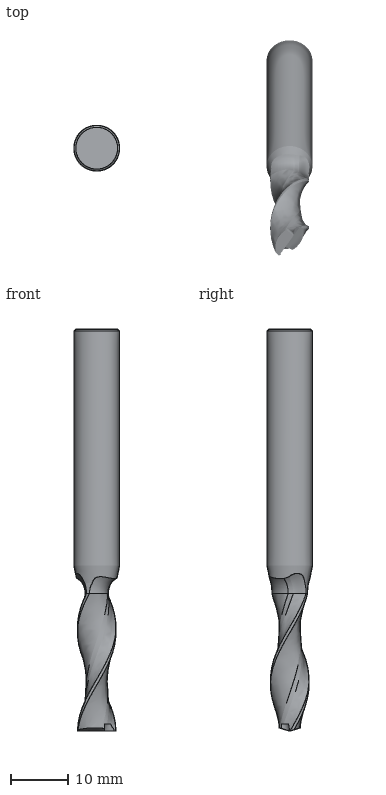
import cadquery as cq
import math

total_length = 70.0
shank_diameter = 8.0
shank_radius = shank_diameter / 2
shank_bottom = 28.85
top_chamfer = 0.35
neck_taper_bottom = 25.75
runout_radius = 2.8

cutter_length = 24.0
cutter_radius = 3.35
helix_pitch = 36.4
end_land_angle = 3.5
land_front_angle = -3.0
land_back_angle = 7.0
web_half_thickness = 1.8
twist_angle = 360 * cutter_length / helix_pitch
neck_land_angle = end_land_angle + twist_angle

back_middle = (1.6, 1.55)
strip_start = (-0.7, web_half_thickness)
strip_end = (-1.55, 1.5)
rake_middle = (-2.25, 0.9)
lip_root = (-2.7, 0.55)

end_relief_angle = 17.0
gash_width = 0.2
gash_height = 1.25
gash_inner_x = 1.3
gash_outer_x = 3.0


def half_turn(point):
    """The matching point on the opposite side of the axis."""
    return (-point[0], -point[1])


def on_land(angle):
    """A point on the land at +X, at the given angle in degrees."""
    turn = math.radians(angle)
    return (cutter_radius * math.cos(turn), cutter_radius * math.sin(turn))


land_front = on_land(land_front_angle)
land_back = on_land(land_back_angle)


def cutter_section():
    """Two lands joined by convex backs, narrow strips, hollow rakes and flat lips."""
    return (
        cq.Workplane("XY")
        .moveTo(*land_front)
        .threePointArc((cutter_radius, 0), land_back)
        .threePointArc(back_middle, strip_start)
        .lineTo(*strip_end)
        .threePointArc(rake_middle, lip_root)
        .lineTo(*half_turn(land_front))
        .threePointArc((-cutter_radius, 0), half_turn(land_back))
        .threePointArc(half_turn(back_middle), half_turn(strip_start))
        .lineTo(*half_turn(strip_end))
        .threePointArc(half_turn(rake_middle), half_turn(lip_root))
        .lineTo(*land_front)
        .close()
    )


def turned(shape, angle):
    return shape.rotate((0, 0, 0), (0, 0, 1), angle)


def end_relief():
    """Wedge that slopes the end face up behind the cutting edge at +X."""
    reach = 2 * cutter_radius
    return (
        cq.Workplane("YZ")
        .polyline([(0, 0), (reach, 0), (reach, reach * math.tan(math.radians(end_relief_angle)))])
        .close()
        .extrude(reach, both=True)
    )


def end_gash():
    """Small notch in the rake face beside the cutting edge at +X."""
    return (
        cq.Workplane("YZ", origin=(gash_inner_x, 0, 0))
        .polyline([(0, 0), (-gash_width, gash_height), (-cutter_radius, gash_height), (-cutter_radius, 0)])
        .close()
        .extrude(gash_outer_x - gash_inner_x)
    )


def make_cutter():
    body = cutter_section().twistExtrude(cutter_length, twist_angle)
    body = turned(body, end_land_angle)
    for side in (0, 180):
        body = body.cut(turned(end_relief(), side))
        body = body.cut(turned(end_gash(), side))
    return body


def flute_runout():
    """The flute outline at +Y, swung upward and outward about a level axis."""
    axis_y = web_half_thickness + runout_radius
    profile = (
        cq.Workplane("XY")
        .moveTo(*land_back)
        .threePointArc(back_middle, strip_start)
        .lineTo(*strip_end)
        .threePointArc(rake_middle, lip_root)
        .lineTo(*half_turn(land_front))
        .lineTo(-shank_radius, land_back[1])
        .lineTo(-shank_radius, axis_y)
        .lineTo(shank_radius, axis_y)
        .lineTo(shank_radius, land_back[1])
        .close()
    )
    swung = profile.revolve(90, (shank_radius, axis_y), (-shank_radius, axis_y))
    return swung.translate((0, 0, cutter_length))


def make_shank():
    body = (
        cq.Workplane("XZ")
        .polyline([
            (0, cutter_length),
            (cutter_radius, cutter_length),
            (cutter_radius, neck_taper_bottom),
            (shank_radius, shank_bottom),
            (shank_radius, total_length - top_chamfer),
            (shank_radius - top_chamfer, total_length),
            (0, total_length),
        ])
        .close()
        .revolve(360, (0, 0), (0, 1))
    )
    for side in (0, 180):
        body = body.cut(turned(flute_runout(), neck_land_angle + side))
    return body


shank = make_shank()
cutter = make_cutter()
result = cq.Compound.makeCompound([shank.solids().val(), cutter.solids().val()])